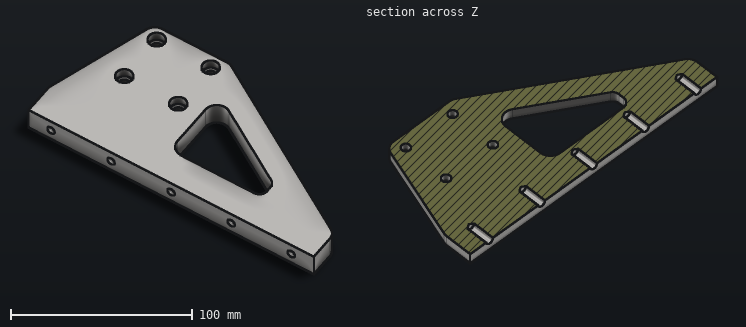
import cadquery as cq
import math

length = 190.0
width = 90.0
thickness = 15.0
end_height = 20.0
top_edge_start = 22.8
top_edge_end = 73.3
corner_radius = 7.5

window_left = 80.8
window_right = 142.0
window_bottom = 20.0
window_right_radius = 5.0
window_left_radius = 7.5
slanted_web = 15.0

bolt_first_x = 30.0
bolt_first_y = 50.0
bolt_spacing_x = 36.0
bolt_spacing_y = 32.0
bolt_diameter = 5.5
counterbore_diameter = 10.0
counterbore_depth = 6.0

edge_hole_count = 5
edge_hole_inset = 15.0
edge_hole_diameter = 5.0
edge_hole_depth = 15.0
drill_point_angle = 118.0


def make_plate():
    outline = [
        (0, 0),
        (length, 0),
        (length, end_height),
        (top_edge_end, width),
        (top_edge_start, width),
        (0, end_height),
    ]
    plate = cq.Workplane("XY").polyline(outline).close().extrude(thickness)
    away_from_edge = cq.selectors.BoxSelector(
        (-length, end_height / 2, -thickness), (2 * length, 2 * width, 2 * thickness)
    )
    return plate.edges("|Z").edges(away_from_edge).fillet(corner_radius)


def make_window():
    slope = (end_height - width) / (length - top_edge_end)
    vertical_web = slanted_web * math.hypot(1, slope)

    def slanted_side(x):
        return width + slope * (x - top_edge_end) - vertical_web

    outline = [
        (window_left, window_bottom),
        (window_right, window_bottom),
        (window_right, slanted_side(window_right)),
        (window_left, slanted_side(window_left)),
    ]
    window = cq.Workplane("XY").polyline(outline).close().extrude(thickness)
    window = window.faces("<X").edges("|Z").fillet(window_left_radius)
    return window.faces(">X").edges("|Z").fillet(window_right_radius)


def drill_bolt_holes(plate):
    centers = [
        (bolt_first_x + column * bolt_spacing_x, bolt_first_y + row * bolt_spacing_y)
        for column in range(2)
        for row in range(2)
    ]
    top_face = cq.Workplane("XY", origin=(0, 0, thickness))
    through = top_face.pushPoints(centers).circle(bolt_diameter / 2).extrude(-thickness)
    counterbores = top_face.pushPoints(centers).circle(counterbore_diameter / 2).extrude(-counterbore_depth)
    return plate.cut(through).cut(counterbores)


def make_edge_hole(x):
    radius = edge_hole_diameter / 2
    tip_length = radius / math.tan(math.radians(drill_point_angle / 2))
    profile = [
        (0, 0),
        (radius, 0),
        (radius, edge_hole_depth),
        (0, edge_hole_depth + tip_length),
    ]
    drill = cq.Workplane("XY").polyline(profile).close().revolve(360, (0, 0), (0, 1))
    return drill.translate((x, 0, thickness / 2))


result = drill_bolt_holes(make_plate().cut(make_window()))

edge_hole_spacing = (length - 2 * edge_hole_inset) / (edge_hole_count - 1)
for index in range(edge_hole_count):
    result = result.cut(make_edge_hole(edge_hole_inset + index * edge_hole_spacing))